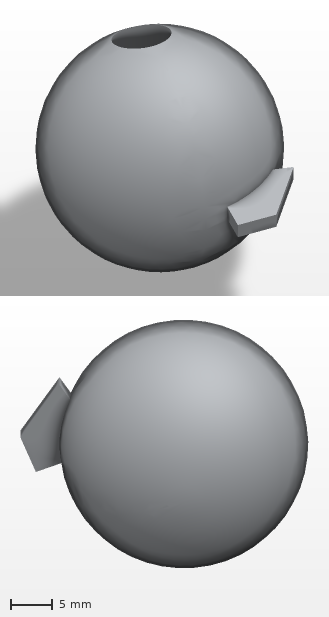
import cadquery as cq

ball_diameter = 30.0
ball_radius = ball_diameter / 2

hole_diameter = 7.23
hole_offset = 6.0
hole_floor_z = 0

overall_length = 33
tab_thickness = 2.0
tab_end_x = overall_length - ball_radius
tab_front_y = 3.0
tab_shoulder_y = 8.0
tab_tip_x = 11.0
tab_tip_y = 13.0
tab_root_x = 10.0


def make_tab():
    """Five-sided plate whose root overlaps the ball."""
    outline = [
        (tab_root_x, tab_front_y),
        (tab_end_x, tab_front_y),
        (tab_end_x, tab_shoulder_y),
        (tab_tip_x, tab_tip_y),
        (tab_root_x, tab_shoulder_y),
    ]
    return cq.Workplane("XY").polyline(outline).close().extrude(tab_thickness)


def make_hole():
    """Cylinder from the hole floor up past the top of the ball."""
    return (
        cq.Workplane("XY", origin=(-hole_offset, 0, hole_floor_z))
        .circle(hole_diameter / 2)
        .extrude(ball_diameter)
    )


ball = cq.Workplane("XY").sphere(ball_radius)
result = ball.union(make_tab()).cut(make_hole())